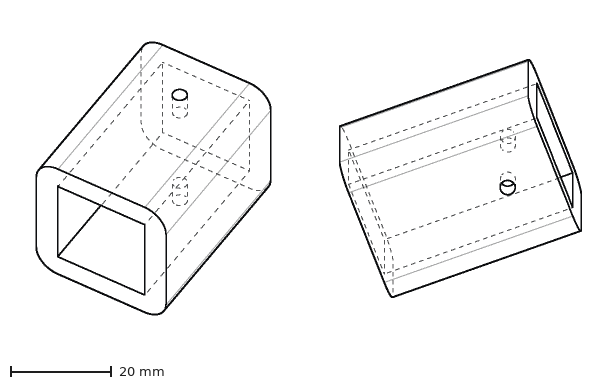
import cadquery as cq

length = 40.0
outer_side = 30.2
wall = 5.0
corner_radius = wall
pin_diameter = 3.0
pin_from_back = 10.0

inner_side = outer_side - 2 * wall

tube = cq.Workplane("XY").box(outer_side, length, outer_side).edges("|Y").fillet(corner_radius)

bore = cq.Workplane("XY").box(inner_side, length, inner_side)

pin_hole = (
    cq.Workplane("XY")
    .center(0, length / 2 - pin_from_back)
    .circle(pin_diameter / 2)
    .extrude(outer_side, both=True)
)

result = tube.cut(bore).cut(pin_hole)